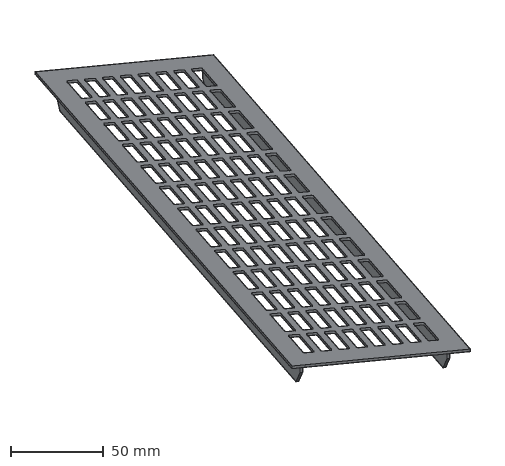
import cadquery as cq

plate_length = 500.0
plate_width = 100.0
plate_thickness = 1.5
overall_height = 16.5

slot_columns = 13
slot_rows = 8
slot_length = 30.0
slot_width = 6.0
slot_corner_radius = 1.0
slot_pitch_x = 36.0
slot_pitch_y = 10.0

flange_length = 476.0
flange_thickness = 1.5
flange_outer_spacing = 84.0
flange_chamfer = 8.0


def make_plate():
    """Flat rectangular plate pierced by a centred grid of round-cornered slots."""
    plate = (
        cq.Workplane("XY")
        .rect(plate_length, plate_width)
        .extrude(-plate_thickness)
    )
    slots = (
        cq.Workplane("XY")
        .rarray(slot_pitch_x, slot_pitch_y, slot_columns, slot_rows)
        .rect(slot_length, slot_width)
        .extrude(-plate_thickness)
        .edges("|Z")
        .fillet(slot_corner_radius)
    )
    return plate.cut(slots)


def make_flange(side):
    """Upright flange under the +Y (side = 1) or -Y (side = -1) half of the plate."""
    center_y = side * (flange_outer_spacing - flange_thickness) / 2
    return (
        cq.Workplane("XY")
        .center(0, center_y)
        .rect(flange_length, flange_thickness)
        .extrude(-overall_height)
        .faces("<X or >X")
        .edges("<Z")
        .chamfer(flange_chamfer)
    )


result = make_plate()
for side in (-1, 1):
    result = result.union(make_flange(side))